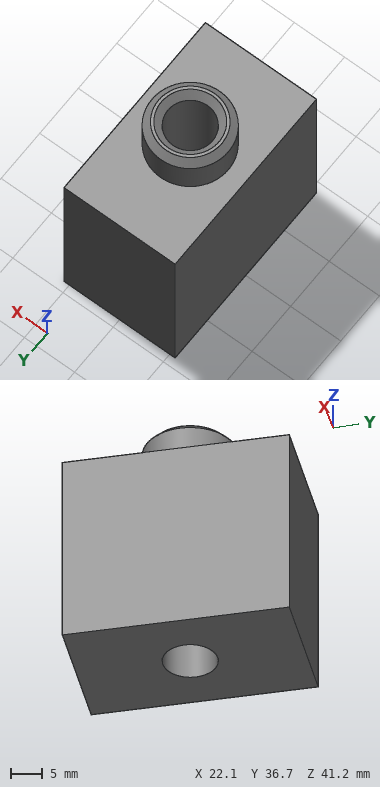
import cadquery as cq

block_width = 22.15
block_depth = 36.7
total_height = 41.25
boss_height = 7.7
block_height = total_height - boss_height

boss_diameter = 15.23
bore_diameter = 8.87
boss_chamfer = 1.32
bore_chamfer = 1.32


def make_block():
    return cq.Workplane("XY").box(block_width, block_depth, block_height, centered=(True, True, False))


def make_boss():
    boss = cq.Workplane("XY").workplane(offset=block_height).circle(boss_diameter / 2).extrude(boss_height)
    return boss.faces(">Z").edges().chamfer(boss_chamfer)


def make_bore():
    """Through bore, flared at 45 degrees where it opens at the top of the boss."""
    bore_radius = bore_diameter / 2
    mouth_radius = bore_radius + bore_chamfer
    return (
        cq.Workplane("XZ")
        .moveTo(0, 0)
        .lineTo(bore_radius, 0)
        .lineTo(bore_radius, total_height - bore_chamfer)
        .lineTo(mouth_radius, total_height)
        .lineTo(0, total_height)
        .close()
        .revolve(360, (0, 0, 0), (0, 1, 0))
    )


result = make_block().union(make_boss()).cut(make_bore())